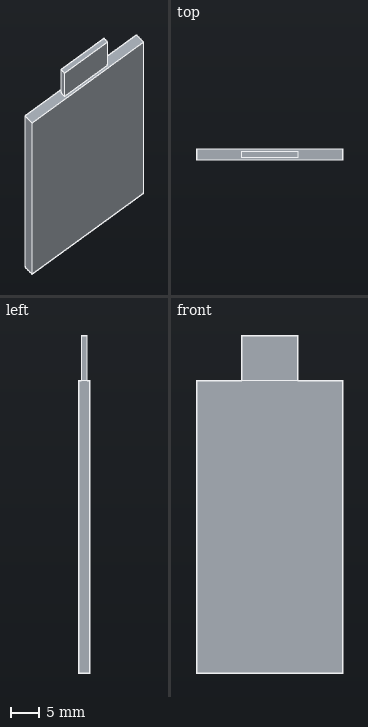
import cadquery as cq

total_height = 60.0
plate_width = 26.0
plate_thickness = 2.0
tab_width = 10.0
tab_thickness = 1.0
tab_height = 8.0
plate_height = total_height - tab_height

plate = cq.Workplane("XY").rect(plate_width, plate_thickness).extrude(plate_height)

result = plate.faces(">Z").workplane().rect(tab_width, tab_thickness).extrude(tab_height)